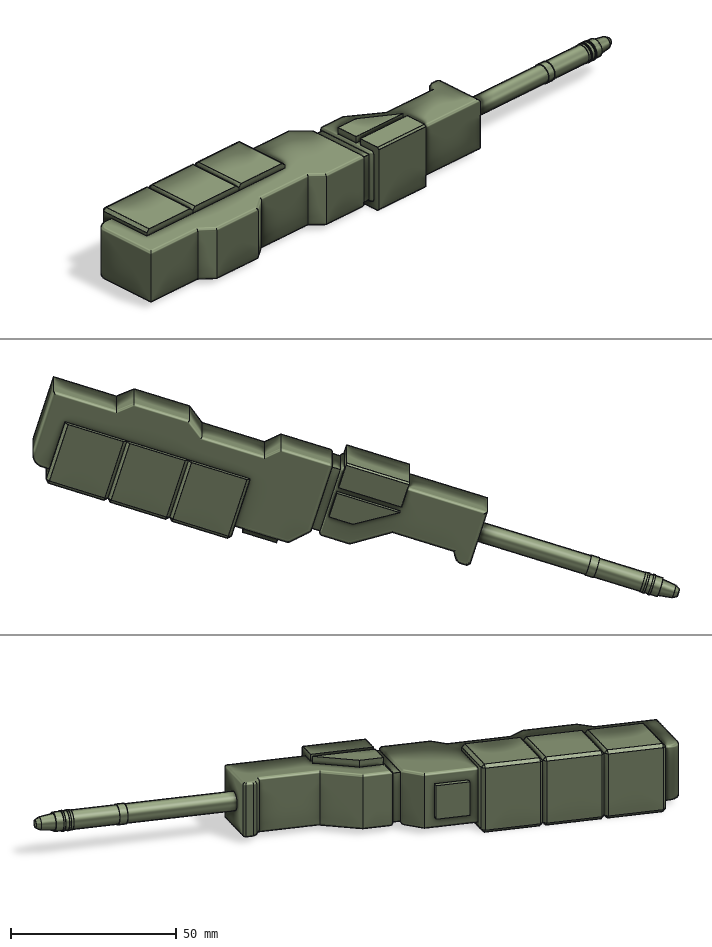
import cadquery as cq

overall_length = 200.0
overall_width = 33.6
overall_thickness = 22.0
right_limit = overall_width / 2
left_limit = -right_limit

edge_radius = 1.0
side_right = 14.6

grip_thickness = 17.6
grip_back = 90.2
grip_front = 136.7
grip_left = -7.8
waist_left = -0.5
waist_back = 111.3
waist_front = 130.7
grip_shoulder = 100.0
nose_left = -3.5
nose_chamfer = 0.8
nose_flat_back = 133.5
nose_lip_x = -2.8
nose_lip_y = 132.3

housing_thickness = 17.8
housing_front = 87.6
housing_front_left = -7.6
housing_left = -13.0
housing_shoulder = 82.2
recess_right = 10.8
lower_recess_end = 20.0
bump_start = 24.5
bump_end = 42.0
upper_recess_start = 47.2
upper_recess_end = 67.0
front_side_start = 71.0
tail_radius = 4.0

sleeve_count = 3
sleeve_length = 19.6
sleeve_start = 6.2
sleeve_right = 2.8
sleeve_chamfer = 1.0

button_size = 10.8
button_height = 1.8
button_center_y = 73.6

clip_left = 8.8
clip_back = 91.2
clip_front = 111.3
clip_chamfer = 0.6
wedge_left = -0.8
wedge_right = 7.0
wedge_shoulder = 98.8

shaft_x = 5.8
shaft_diameter = 6.0
tip_diameter = 2.5
cone_front_diameter = 4.0
cone_back_diameter = 5.2
cone_front = 1.5
cone_back = 5.8
ring_diameter = 6.5
step_diameter = 6.2
front_ring = (8.2, 8.8)
rear_ring = (10.0, 10.6)
rear_ring_step = (10.6, 11.5)
collar = (26.0, 28.6)


def plate(outline, thickness):
    """Closed XY outline extruded equally to both sides of Z = 0."""
    return cq.Workplane("XY").polyline(outline).close().extrude(thickness / 2, both=True)


def block(left, right, back, front, thickness):
    """Box between two X and two Y limits, centred on Z = 0."""
    corner_box = cq.Workplane("XY").box(right - left, front - back, thickness, centered=(False, False, True))
    return corner_box.translate((left, back, 0))


def make_wedge():
    outline = [
        (wedge_left, clip_back),
        (wedge_right, clip_back),
        (wedge_right, clip_front),
        (wedge_left, wedge_shoulder),
    ]
    return plate(outline, overall_thickness)


def make_front_grip(wedge):
    outline = [
        (side_right, grip_back),
        (side_right, grip_front),
        (nose_left + nose_chamfer, grip_front),
        (nose_left, grip_front - nose_chamfer),
        (nose_left, nose_flat_back),
        (nose_lip_x, nose_lip_y),
        (waist_left, waist_front),
        (waist_left, waist_back),
        (grip_left, grip_shoulder),
        (grip_left, grip_back),
    ]
    grip = plate(outline, grip_thickness).faces("|Z or <Y").fillet(edge_radius)
    return grip.cut(wedge)


def make_rear_housing():
    outline = [
        (recess_right, 0),
        (recess_right, lower_recess_end),
        (side_right, bump_start),
        (side_right, bump_end),
        (recess_right, upper_recess_start),
        (recess_right, upper_recess_end),
        (side_right, front_side_start),
        (side_right, housing_front),
        (housing_front_left, housing_front),
        (housing_left, housing_shoulder),
        (housing_left, 0),
    ]
    housing = plate(outline, housing_thickness)
    housing = housing.edges("|Z and <X and <Y").fillet(tail_radius)
    housing = housing.faces("|Z or >Y").fillet(edge_radius)
    neck = block(
        housing_front_left + edge_radius,
        side_right - edge_radius,
        housing_front,
        grip_back,
        housing_thickness - 2 * edge_radius,
    )
    return housing.union(neck)


def make_sleeve(back, housing):
    sleeve = block(left_limit, sleeve_right, back, back + sleeve_length, overall_thickness)
    sleeve = sleeve.faces("<X or <Y or >Y").edges("not >X").chamfer(sleeve_chamfer)
    return sleeve.cut(housing)


def make_button():
    half_size = button_size / 2
    return block(
        housing_left - button_height,
        housing_left,
        button_center_y - half_size,
        button_center_y + half_size,
        button_size,
    )


def make_clip(grip):
    clip = block(clip_left, right_limit, clip_back, clip_front, overall_thickness)
    clip = clip.edges(">X and |Y").chamfer(clip_chamfer)
    return clip.cut(grip)


def make_shaft():
    shaft_length = overall_length - grip_front
    half_profile = [
        (0, 0),
        (tip_diameter / 2, 0),
        (cone_front_diameter / 2, cone_front),
        (cone_back_diameter / 2, cone_back),
        (shaft_diameter / 2, cone_back),
        (shaft_diameter / 2, shaft_length),
        (0, shaft_length),
    ]
    points = [(shaft_x + radius, overall_length - depth) for radius, depth in half_profile]
    axis_start = (shaft_x, 0)
    axis_end = (shaft_x, 1)
    shaft = cq.Workplane("XY").polyline(points).close().revolve(360, axis_start, axis_end)

    bands = [
        (ring_diameter, front_ring),
        (ring_diameter, rear_ring),
        (step_diameter, rear_ring_step),
        (ring_diameter, collar),
    ]
    for diameter, (front_depth, back_depth) in bands:
        plane = cq.Workplane("XZ", origin=(shaft_x, overall_length - front_depth, 0))
        shaft = shaft.union(plane.circle(diameter / 2).extrude(back_depth - front_depth))
    return shaft


wedge = make_wedge()
front_grip = make_front_grip(wedge)
rear_housing = make_rear_housing()
sleeves = [make_sleeve(sleeve_start + i * sleeve_length, rear_housing) for i in range(sleeve_count)]
button = make_button()
clip = make_clip(front_grip)
shaft = make_shaft()

result = cq.Compound.makeCompound([
    front_grip.val(),
    rear_housing.val(),
    *[sleeve.val() for sleeve in sleeves],
    button.val(),
    clip.val(),
    wedge.val(),
    shaft.val(),
])